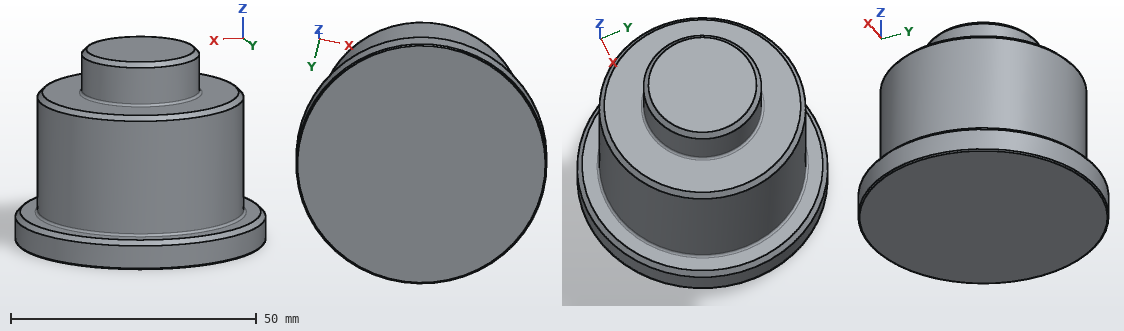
import cadquery as cq

flange_diameter = 51.0
body_diameter = 42.0
pin_diameter = 24.0

flange_top = 6.0
body_top = 31.0
pin_top = 40.0

top_chamfer = 1.0
bottom_chamfer = 0.3
root_fillet = 0.5


def add_rooted_step(profile, radius, base, top):
    """Extend the half profile up one step, from its root fillet to its chamfered rim."""
    return (
        profile
        .lineTo(radius + root_fillet, base)
        .radiusArc((radius, base + root_fillet), root_fillet)
        .lineTo(radius, top - top_chamfer)
        .lineTo(radius - top_chamfer, top)
    )


flange_radius = flange_diameter / 2
profile = (
    cq.Workplane("XZ")
    .lineTo(flange_radius - bottom_chamfer, 0)
    .lineTo(flange_radius, bottom_chamfer)
    .lineTo(flange_radius, flange_top - top_chamfer)
    .lineTo(flange_radius - top_chamfer, flange_top)
)
profile = add_rooted_step(profile, body_diameter / 2, flange_top, body_top)
profile = add_rooted_step(profile, pin_diameter / 2, body_top, pin_top)
profile = profile.lineTo(0, pin_top).close()

result = profile.revolve(360, (0, 0, 0), (0, 1, 0))